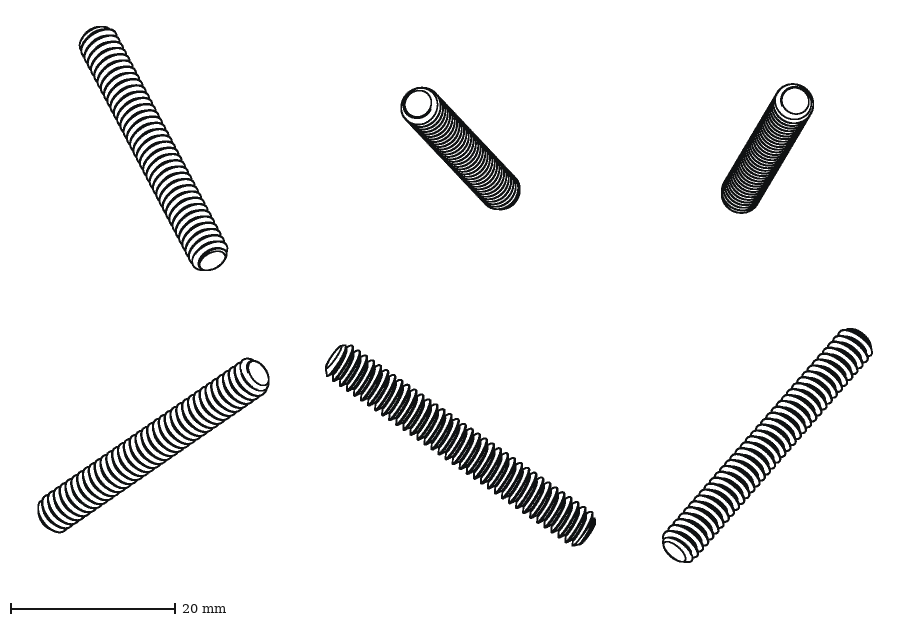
import cadquery as cq
import math

length = 38.1
major_radius = 4.85 / 2
thread_turns = 36
pitch = length / thread_turns
flank_slope = math.tan(math.radians(30))
crest_flat = pitch / 8
root_flat = pitch / 6
thread_depth = (pitch - crest_flat - root_flat) / (2 * flank_slope)
root_radius = major_radius - thread_depth

end_face_radius = 1.68
groove_phase = 0.2
ridge_root_embed = 0.05
trim_margin = 0.4
overrun_turns = 2

ridge_turns = thread_turns + 2 * overrun_turns
ridge_start = groove_phase - (overrun_turns + 0.5) * pitch


def ridge_section():
    """Corners of the ridge section as (radius, axial offset) pairs."""
    crest_half = crest_flat / 2
    base_half = crest_half + (thread_depth + ridge_root_embed) * flank_slope
    base_radius = root_radius - ridge_root_embed
    return [
        (base_radius, -base_half),
        (major_radius, -crest_half),
        (major_radius, crest_half),
        (base_radius, base_half),
    ]


def ridge_cap(turn):
    """Flat face closing the ridge after the given number of turns."""
    corners = [cq.Vector(radius, 0, turn * pitch + offset) for radius, offset in ridge_section()]
    return cq.Face.makeFromWires(cq.Wire.makePolygon(corners, close=True))


def make_ridge():
    """Helical ridge around Z, bounded by one set of ruled faces per turn."""
    faces = [ridge_cap(0), ridge_cap(ridge_turns)]
    for turn in range(ridge_turns):
        edges = [
            cq.Wire.makeHelix(pitch, pitch, radius).translate(cq.Vector(0, 0, turn * pitch + offset))
            for radius, offset in ridge_section()
        ]
        for i, edge in enumerate(edges):
            next_edge = edges[(i + 1) % len(edges)]
            faces += cq.Face.makeRuledSurface(edge, next_edge).Faces()
    return cq.Workplane(cq.Solid.makeSolid(cq.Shell.makeShell(faces)))


def lay_along_x(body):
    """Turn a body from Z to X, so that its +X side becomes -Z."""
    return body.rotate((0, 0, 0), (0, 1, 0), 90)


def make_end_trim(end_x, inward):
    """Everything outside one end face and its lead-in cone; inward is +1 or -1 along X."""
    outer_radius = major_radius + trim_margin
    cone_x = end_x + inward * (outer_radius - end_face_radius)
    far_x = end_x - inward * (overrun_turns + 2) * pitch
    outline = cq.Workplane("XY").polyline([
        (end_x, 0),
        (end_x, end_face_radius),
        (cone_x, outer_radius),
        (far_x, outer_radius),
        (far_x, 0),
    ]).close()
    return outline.revolve(360, (0, 0, 0), (1, 0, 0))


def trim_ends(body):
    return body.cut(make_end_trim(0, 1)).cut(make_end_trim(length, -1))


ridge = lay_along_x(make_ridge()).translate((ridge_start, 0, 0))
core = cq.Workplane("YZ").circle(root_radius).extrude(length)
result = trim_ends(core).union(trim_ends(ridge))